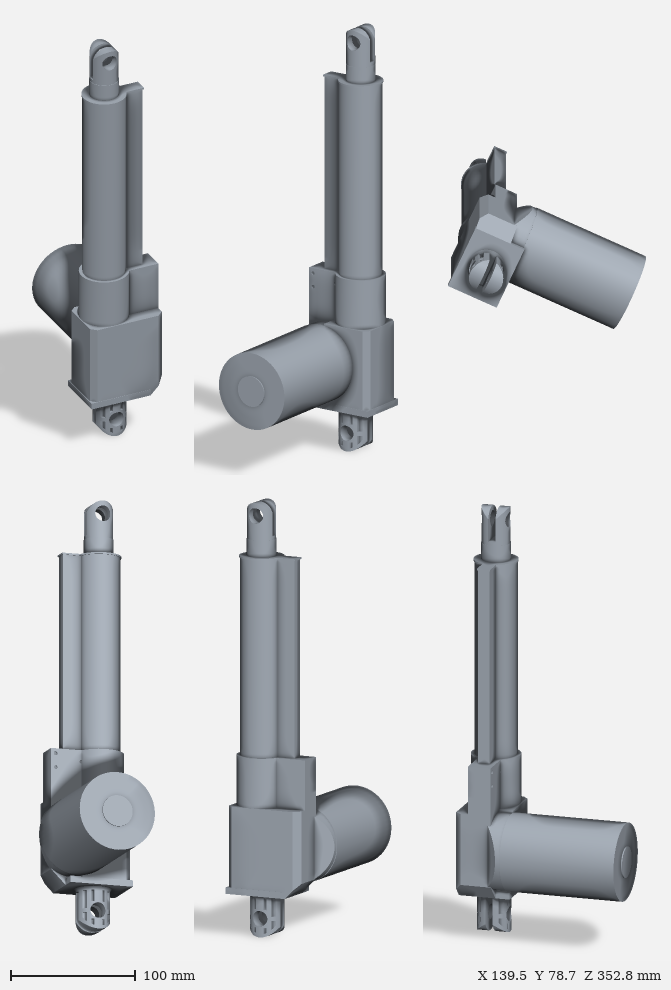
import cadquery as cq


total_height = 352.8
plate_bottom = 34.5
plate_top = 40.0
gearbox_top = 106.0
collar_top = 146.5
cap_top = 308.5
cap_thickness = 1.5
rod_top = 322.5

gearbox_half_width = 21.0
gearbox_front = -20.8
gearbox_shoulder_back = 21.0
gearbox_back = 43.7
gearbox_front_chamfer = 4.5
gearbox_back_chamfer = 5.3
plate_half_width = 21.5
plate_front = -21.5
plate_back = 31.5

motor_diameter = 64.0
motor_y = 25.22
motor_z = 72.5
motor_left = -117.0
motor_cap_diameter = 25.5
motor_cap_height = 1.0
housing_radius = 31.5
housing_bevel_start = -17.3
housing_bevel_end = -7.0

collar_diameter = 40.5
tube_diameter = 35.0
rail_width = 10.0
rail_back = 32.0
cap_overhang = 0.7
cap_rail_overhang = 0.7
bracket_width = 19.0
screw_diameter = 3.0
screw_depth = 1.5
screw_places = [(40.0, 142.0), (40.0, 131.0), (18.0, 137.0)]

rod_diameter = 24.0
upper_fork_diameter = 23.3
upper_slot_bottom = 325.3
fork_slot_width = 6.0
pin_hole_diameter = 12.7
upper_pin_z = 342.2

lower_fork_y = 5.0
lower_fork_diameter = 27.5
lower_fork_end_radius = 15.0
lower_fork_top = 31.7
lower_flare_width = 1.5

relief_end_radius = 12.7
corner_relief_x = 7.5
corner_relief_y = 8.8
corner_rib_height = 3.5
side_relief_inner_y = 3.35
side_relief_outer_y = 5.5
side_relief_floor_x = 10.2
side_relief_gap = 14.5


def box(x_range, y_range, z_range):
    """Box between two limits along each axis."""
    size = [high - low for low, high in (x_range, y_range, z_range)]
    corner = (x_range[0], y_range[0], z_range[0])
    return cq.Workplane("XY").box(*size, centered=False).translate(corner)


def rod_along_z(diameter, bottom, top, y=0.0):
    """Upright cylinder on X = 0."""
    return cq.Workplane("XY", origin=(0, y, bottom)).circle(diameter / 2).extrude(top - bottom)


def rod_along_x(diameter, left, right, y, z):
    """Cylinder lying along X."""
    return cq.Workplane("YZ", origin=(left, y, z)).circle(diameter / 2).extrude(right - left)


def make_gearbox():
    width = (-gearbox_half_width, gearbox_half_width)
    body = box(width, (gearbox_front, gearbox_shoulder_back), (plate_top, gearbox_top))
    body = body.edges("|Z and <Y").chamfer(gearbox_front_chamfer)

    back = box(
        (-bracket_width / 2, gearbox_half_width), (0, gearbox_back), (plate_bottom, gearbox_top)
    )
    back = back.edges("|Z and >Y and >X").chamfer(gearbox_back_chamfer)
    back_slope = gearbox_back - plate_back
    slope_cut = (
        cq.Workplane("YZ", origin=(-gearbox_half_width, 0, 0))
        .polyline([
            (plate_back, plate_bottom),
            (gearbox_back, plate_bottom),
            (gearbox_back, plate_bottom + back_slope),
        ])
        .close()
        .extrude(2 * gearbox_half_width)
    )
    back = back.cut(slope_cut)

    plate = box((-plate_half_width, plate_half_width), (plate_front, plate_back), (plate_bottom, plate_top))
    return body.union(back).union(plate)


def make_motor():
    motor = rod_along_x(motor_diameter, motor_left, -gearbox_half_width, motor_y, motor_z)
    cap = rod_along_x(
        motor_cap_diameter, motor_left - motor_cap_height, motor_left, motor_y, motor_z
    )
    housing = rod_along_x(2 * housing_radius, -gearbox_half_width, housing_bevel_end, motor_y, motor_z)
    housing_back = motor_y + housing_radius
    bevelled_outline = (
        cq.Workplane("XY")
        .polyline([
            (-gearbox_half_width, gearbox_front),
            (-gearbox_half_width, housing_back),
            (housing_bevel_start, housing_back),
            (housing_bevel_end, gearbox_back),
            (housing_bevel_end, gearbox_front),
        ])
        .close()
        .extrude(total_height)
    )
    return motor.union(cap).union(housing.intersect(bevelled_outline))


def make_keyhole(diameter, width, back, bottom, top):
    """Round post with a flat rail running out of its back."""
    rail = box((-width / 2, width / 2), (0, back), (bottom, top))
    return rod_along_z(diameter, bottom, top).union(rail)


def make_column():
    collar = make_keyhole(collar_diameter, bracket_width, gearbox_back, gearbox_top, collar_top)
    for y, z in screw_places:
        left = -bracket_width / 2
        collar = collar.cut(rod_along_x(screw_diameter, left, left + screw_depth, y, z))
    tube = make_keyhole(tube_diameter, rail_width, rail_back, collar_top, cap_top)
    cap = make_keyhole(
        tube_diameter + 2 * cap_overhang,
        rail_width + 2 * cap_rail_overhang,
        rail_back + cap_rail_overhang,
        cap_top - cap_thickness,
        cap_top,
    )
    return collar.union(tube).union(cap)


def make_upper_fork():
    radius = upper_fork_diameter / 2
    rounded_tip = rod_along_x(upper_fork_diameter, -radius, radius, 0, total_height - radius)
    shank = box((-radius, radius), (-radius, radius), (rod_top, total_height - radius))
    fork = rod_along_z(upper_fork_diameter, rod_top, total_height).intersect(shank.union(rounded_tip))
    slot = fork_slot_width / 2
    fork = fork.cut(box((-slot, slot), (-radius, radius), (upper_slot_bottom, total_height)))
    fork = fork.cut(rod_along_x(pin_hole_diameter, -radius, radius, 0, upper_pin_z))
    return rod_along_z(rod_diameter, cap_top, rod_top).union(fork)


def make_fork_reliefs():
    """Corner and side pockets that lighten the lower fork, before their round end trim."""
    reach = lower_fork_diameter
    pin_z = lower_fork_end_radius
    corner_x = (corner_relief_x, reach)
    corner_y = (corner_relief_y, reach)
    side_x = (side_relief_floor_x, reach)
    side_y = (side_relief_inner_y, side_relief_outer_y)

    quarter = cq.Workplane("XY")
    for x_range, y_range, gap in (
        (corner_x, corner_y, corner_rib_height / 2),
        (side_x, side_y, side_relief_gap / 2),
    ):
        quarter = quarter.union(box(x_range, y_range, (gap, lower_fork_top - pin_z)))
        quarter = quarter.union(box(x_range, y_range, (-pin_z, -gap)))

    half = quarter.union(quarter.mirror("YZ"))
    return half.union(half.mirror("XZ")).translate((0, lower_fork_y, pin_z))


def make_lower_fork():
    radius = lower_fork_diameter / 2
    pin_z = lower_fork_end_radius
    side = (lower_fork_y - lower_fork_diameter, lower_fork_y + lower_fork_diameter)
    across = (-lower_fork_diameter, lower_fork_diameter)
    above_pin = box(across, side, (pin_z, lower_fork_top))

    def rounded_end(end_radius):
        return above_pin.union(rod_along_x(2 * end_radius, *across, lower_fork_y, pin_z))

    fork = rod_along_z(lower_fork_diameter, 0, lower_fork_top, lower_fork_y)
    fork = fork.intersect(rounded_end(lower_fork_end_radius))
    fork = fork.cut(make_fork_reliefs().intersect(rounded_end(relief_end_radius)))
    slot = fork_slot_width / 2
    fork = fork.cut(box((-slot, slot), side, (0, lower_fork_top)))
    fork = fork.cut(rod_along_x(pin_hole_diameter, -radius, radius, lower_fork_y, pin_z))
    flare_height = plate_bottom - lower_fork_top
    flare_radius = (lower_flare_width**2 + flare_height**2) / (2 * lower_flare_width)
    flare = (
        cq.Workplane("XZ", origin=(0, lower_fork_y, 0))
        .moveTo(0, lower_fork_top)
        .lineTo(radius, lower_fork_top)
        .radiusArc((radius + lower_flare_width, plate_bottom), flare_radius)
        .lineTo(0, plate_bottom)
        .close()
        .revolve(360, (0, 0, 0), (0, 1, 0))
    )
    return fork.union(flare)


result = make_gearbox()
for component in (make_motor(), make_column(), make_upper_fork(), make_lower_fork()):
    result = result.union(component)